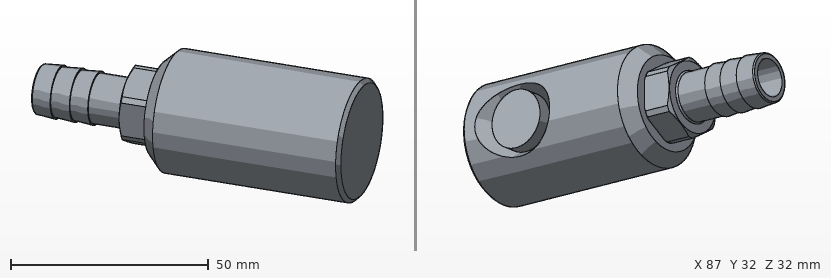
import cadquery as cq

total_length = 87.0
hex_start = 24.9
body_start = 32.8

tube_radius = 6.5
barb_radius = 7.0
barb_ends = (5.3, 10.5, 15.5)
tip_chamfer = 0.35
root_flare = 0.4
bore_radius = 5.0
bore_depth = body_start

hex_across_flats = 19.1
hex_corner_radius = 10.6
hex_face_radius = 9.4
hex_chamfer_length = 0.6
hex_back_relief = 0.3

body_radius = 16.0
front_chamfer_length = 3.65
front_face_radius = 12.5
rear_chamfer = 1.05

button_x = total_length - 16.5
button_radius = 7.7
button_top = 14.4
recess_floor = 10.4
recess_rim_radius = 12.1


def revolve_about_x(points):
    """Turn an (x, radius) outline around the X axis."""
    return cq.Workplane("XY").polyline(points).close().revolve(360, (0, 0, 0), (1, 0, 0))


def make_tail():
    """Tube with saw-tooth barbs and a small flare where it meets the hexagon."""
    outline = [(0, 0), (0, tube_radius - tip_chamfer), (tip_chamfer, tube_radius)]
    for barb_end in barb_ends:
        outline += [(barb_end, barb_radius), (barb_end, tube_radius)]
    outline += [
        (hex_start - root_flare, tube_radius),
        (hex_start, tube_radius + root_flare),
        (hex_start, 0),
    ]
    return revolve_about_x(outline)


def make_hexagon():
    """Hexagon with flats facing +Y and -Y, its corners turned down and chamfered."""
    length = body_start - hex_start
    prism = (
        cq.Workplane("YZ", origin=(hex_start, 0, 0))
        .polygon(6, hex_across_flats, circumscribed=True)
        .extrude(length)
    )
    turned_envelope = revolve_about_x([
        (hex_start, 0),
        (hex_start, hex_face_radius),
        (hex_start + hex_chamfer_length, hex_corner_radius),
        (body_start - hex_back_relief, hex_corner_radius),
        (body_start, hex_corner_radius - hex_back_relief),
        (body_start, 0),
    ])
    return prism.intersect(turned_envelope)


def make_body():
    """Solid cylinder chamfered at both ends."""
    return revolve_about_x([
        (body_start, 0),
        (body_start, front_face_radius),
        (body_start + front_chamfer_length, body_radius),
        (total_length - rear_chamfer, body_radius),
        (total_length, body_radius - rear_chamfer),
        (total_length, 0),
    ])


def make_recess():
    """Cone widening from the button's foot to the outermost line of the body."""
    profile = [
        (button_x, recess_floor),
        (button_x + button_radius, recess_floor),
        (button_x + recess_rim_radius, body_radius),
        (button_x, body_radius),
    ]
    return (
        cq.Workplane("XY").polyline(profile).close()
        .revolve(360, (button_x, 0, 0), (button_x, 1, 0))
    )


def make_button():
    """Flat-topped round button, rooted in the solid body."""
    return (
        cq.Workplane("XZ", origin=(button_x, 0, 0))
        .circle(button_radius)
        .extrude(-button_top)
    )


bore = cq.Workplane("YZ").circle(bore_radius).extrude(bore_depth)
body = make_body().cut(make_recess()).union(make_button())
result = body.union(make_hexagon()).union(make_tail()).cut(bore)